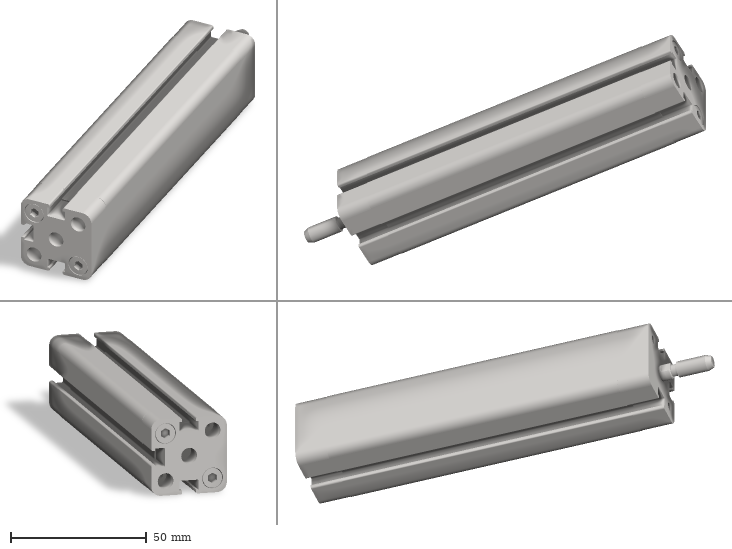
import cadquery as cq
import math

total_length = 158.5
width = 29.0
half_width = width / 2
rod_length = 20.1
body_length = total_length - rod_length
cap_length = 12.2
barrel_length = body_length - 2 * cap_length

cap_corner_radius = 3.6
barrel_corner_radius = 3.3
slot_half_width = 3.6
lip_thickness = 1.5
slot_half_opening = 2.7
slot_floor_fillet = 0.5
cap_slot_depth = 5.2
cap_lip_fillet = 0.6
barrel_slot_depth = 4.8
barrel_lip_fillet = 0.4
slot_angles = (0, 90, 180)

hole_offset = 9.0
hole_diameter = 3.2
hole_counterbore_diameter = 6.0
hole_counterbore_depth = 9.5
screw_recess_diameter = 8.0
screw_head_diameter = 7.5
screw_recess_depth = 4.8
screw_head_gap = 0.2
socket_across_flats = 3.5
socket_depth = 2.4
center_hole_diameter = 6.0
center_hole_depth = 8.0

rod_diameter = 6.0
rod_neck_diameter = 4.5
rod_tip_diameter = 4.5
rod_across_flats = 5.0
flats_start = 0.8
collar_chamfer = 0.3
neck_start = 4.3
thread_start = 6.7
tip_taper_length = 2.0


def along_y(y):
    """Sketch plane facing +Y at the given y; its local axes are -X and Z."""
    return cq.Workplane("XZ", origin=(0, y, 0)).transformed(rotate=(0, 180, 0))


def cylinder(x, z, y, diameter, length):
    """Cylinder around a line parallel to Y, running from y towards +Y."""
    return along_y(y).center(-x, z).circle(diameter / 2).extrude(length)


def lipped_slot(y, length, depth, lip_fillet):
    """Solid filling the top slot, with rounded lips at its mouth and a rounded floor."""
    floor = half_width - depth
    lip = half_width - lip_thickness
    chamber = (
        along_y(y)
        .center(0, (floor + lip) / 2)
        .rect(2 * slot_half_width, lip - floor)
        .extrude(length)
        .edges("|Y and <Z")
        .fillet(slot_floor_fillet)
    )
    mouth_edge = slot_half_opening + lip_fillet
    mouth = (
        along_y(y)
        .moveTo(-slot_half_opening, lip)
        .lineTo(slot_half_opening, lip)
        .lineTo(slot_half_opening, half_width - lip_fillet)
        .radiusArc((mouth_edge, half_width), lip_fillet)
        .lineTo(-mouth_edge, half_width)
        .radiusArc((-slot_half_opening, half_width - lip_fillet), lip_fillet)
        .close()
        .extrude(length)
    )
    return chamber.union(mouth)


def profile_section(y, length, corner_radius, slot_depth, lip_fillet):
    """Length of rounded square bar with a slot in three of its sides."""
    section = along_y(y).rect(width, width).extrude(length).edges("|Y").fillet(corner_radius)
    slot = lipped_slot(y, length, slot_depth, lip_fillet)
    for angle in slot_angles:
        section = section.cut(slot.rotate((0, 0, 0), (0, -1, 0), angle))
    return section


def cap(y):
    """End cap starting at the given y."""
    return profile_section(y, cap_length, cap_corner_radius, cap_slot_depth, cap_lip_fillet)


def screw_head(x, z):
    """Socket head screw sitting in its recess in the rear cap."""
    head = cylinder(x, z, screw_head_gap, screw_head_diameter, screw_recess_depth - screw_head_gap)
    socket_corner_diameter = socket_across_flats / math.cos(math.pi / 6)
    socket = (
        along_y(screw_head_gap)
        .center(-x, z)
        .transformed(rotate=(0, 0, 90))
        .polygon(6, socket_corner_diameter)
        .extrude(socket_depth)
    )
    return head.cut(socket)


def rod_collar():
    """Collar next to the front face, with two spanner flats that run out at 45 degrees."""
    collar = cylinder(0, 0, body_length, rod_diameter, neck_start).faces(">Y").chamfer(collar_chamfer)
    radius = rod_diameter / 2
    flat_x = rod_across_flats / 2
    flats_y = body_length + flats_start
    run_out_y = flats_y - (radius - flat_x)
    collar_end = body_length + neck_start
    right_side = [(radius, body_length), (radius, run_out_y), (flat_x, flats_y), (flat_x, collar_end)]
    left_side = [(-x, y) for x, y in reversed(right_side)]
    envelope = cq.Workplane("XY").polyline(right_side + left_side).close().extrude(radius, both=True)
    return collar.intersect(envelope)


def piston_rod():
    """Collar, narrow neck and threaded end (plain, at the thread diameter) with a tapered tip."""
    neck = cylinder(0, 0, body_length + neck_start, rod_neck_diameter, thread_start - neck_start)
    tip_step = (rod_diameter - rod_tip_diameter) / 2
    thread = (
        cylinder(0, 0, body_length + thread_start, rod_diameter, rod_length - thread_start)
        .faces(">Y")
        .chamfer(tip_taper_length, tip_step)
    )
    return rod_collar().union(neck).union(thread)


barrel = profile_section(
    cap_length, barrel_length, barrel_corner_radius, barrel_slot_depth, barrel_lip_fillet
)
body = cap(0).union(barrel).union(cap(cap_length + barrel_length))
body = body.cut(cylinder(0, 0, 0, center_hole_diameter, center_hole_depth))

for side in (-1, 1):
    x = side * hole_offset
    body = body.cut(cylinder(x, x, 0, hole_diameter, body_length))
    body = body.cut(cylinder(x, x, 0, hole_counterbore_diameter, hole_counterbore_depth))
    body = body.cut(cylinder(x, -x, 0, screw_recess_diameter, screw_recess_depth))
    body = body.union(screw_head(x, -x))

result = body.union(piston_rod())